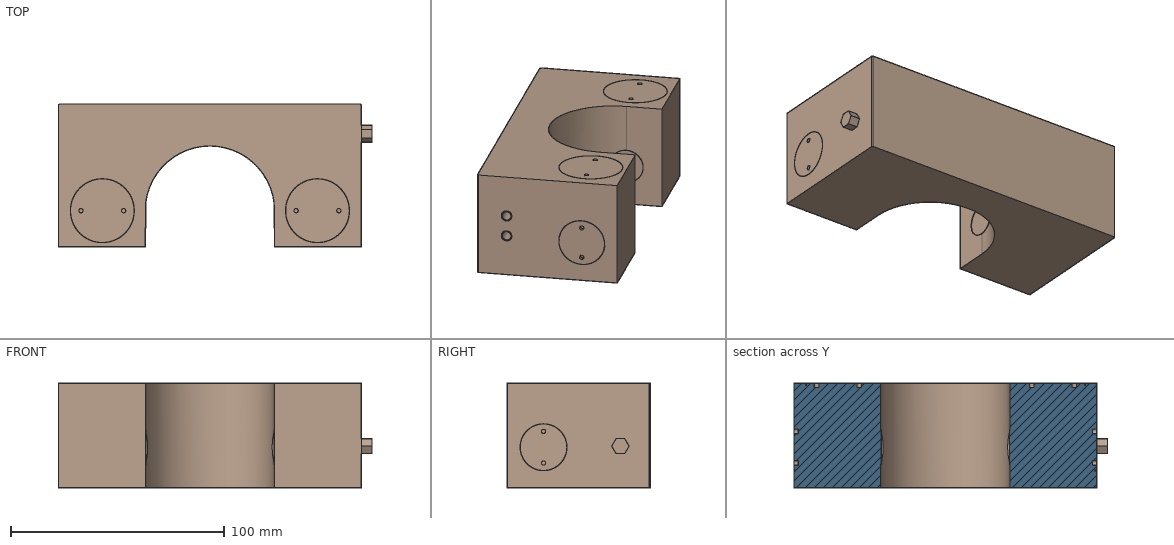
import cadquery as cq
import math

BODY_LENGTH = 142.0
BODY_WIDTH = 67.0
BODY_HEIGHT = 49.0
BACK_EDGE_CHAMFER = 0.5

BORE_RADIUS = 30.25
BORE_AXIS_TO_FRONT = 17.0

PLUG_GAP = 0.1
PLUG_GAP_DEPTH = 1.0
TOP_PLUG_DIAMETER = 29.8
SIDE_PLUG_DIAMETER = 21.8
TOP_PLUG_X = 50.4

PIN_HOLE_DIAMETER = 2.0
PIN_HOLE_DEPTH = 2.0
TOP_PIN_RADIUS = 10.0
SIDE_PIN_RADIUS = 7.4

PISTON_DIAMETER = 16.0
PISTON_Z = 19.0
PISTON_PROTRUSION = 0.25
PISTON_LENGTH = 15.0

PORT_CORE_DIAMETER = 4.13
PORT_SPOT_FACE_DIAMETER = 5.0
PORT_SPOT_FACE_DEPTH = 0.2
PORT_DEPTH = 10.0
PORT_SPACING = 10.0
PORTS_TO_FRONT = 53.0

HEX_SIDES = 6
HEX_ACROSS_FLATS = 7.0
HEX_LENGTH = 5.0

HEX_ACROSS_CORNERS = HEX_ACROSS_FLATS / math.cos(math.pi / HEX_SIDES)
LEFT_X = -BODY_LENGTH / 2
RIGHT_X = BODY_LENGTH / 2
FRONT_Y = -BORE_AXIS_TO_FRONT
PORT_Y = FRONT_Y + PORTS_TO_FRONT
LOWER_PORT_Z = (BODY_HEIGHT - PORT_SPACING) / 2
UPPER_PORT_Z = LOWER_PORT_Z + PORT_SPACING


def plane_facing(origin, normal):
    """Plane with its local x along X when it faces along Z, otherwise along Z."""
    faces_along_z = normal[2] != 0
    local_x = (1, 0, 0) if faces_along_z else (0, 0, 1)
    return cq.Plane(origin=origin, xDir=local_x, normal=normal)


def make_block():
    block = cq.Workplane("XY").box(BODY_LENGTH, BODY_WIDTH, BODY_HEIGHT, centered=(True, False, False))
    block = block.translate((0, FRONT_Y, 0))
    return block.edges("|Z and >Y").chamfer(BACK_EDGE_CHAMFER)


def make_opening():
    bore = cq.Workplane("XY").circle(BORE_RADIUS).extrude(BODY_HEIGHT)
    throat = cq.Workplane("XY").box(
        2 * BORE_RADIUS, BORE_AXIS_TO_FRONT, BODY_HEIGHT, centered=(True, False, False)
    )
    return bore.union(throat.translate((0, FRONT_Y, 0)))


def make_plug_cut(origin, normal, plug_diameter, pin_radius):
    """Ring gap around a plug together with its two pin holes."""
    plane = plane_facing(origin, normal)
    plug_radius = plug_diameter / 2
    gap = cq.Workplane(plane).circle(plug_radius + PLUG_GAP).circle(plug_radius).extrude(-PLUG_GAP_DEPTH)
    pin_holes = (
        cq.Workplane(plane)
        .pushPoints([(-pin_radius, 0), (pin_radius, 0)])
        .circle(PIN_HOLE_DIAMETER / 2)
        .extrude(-PIN_HOLE_DEPTH)
    )
    return gap.union(pin_holes)


def make_piston_cylinder(side, direction):
    """Cylinder of piston size starting at the flat piston face and running along X."""
    face_x = side * (BORE_RADIUS - PISTON_PROTRUSION)
    plane = plane_facing((face_x, 0, PISTON_Z), (direction, 0, 0))
    return cq.Workplane(plane).circle(PISTON_DIAMETER / 2).extrude(PISTON_LENGTH)


def fit_piston(body, side):
    """Clear the bore wall in front of the piston face and fill solid behind it."""
    pocket = make_piston_cylinder(side, -side)
    piston = make_piston_cylinder(side, side)
    return body.cut(pocket).union(piston)


def make_port(port_z):
    """Blind thread core hole with a shallow spot face at its entry."""
    plane = plane_facing((LEFT_X, PORT_Y, port_z), (1, 0, 0))
    spot_face = cq.Workplane(plane).circle(PORT_SPOT_FACE_DIAMETER / 2).extrude(PORT_SPOT_FACE_DEPTH)
    core = cq.Workplane(plane).circle(PORT_CORE_DIAMETER / 2).extrude(PORT_DEPTH)
    return spot_face.union(core)


def make_hex_stub():
    """Hexagonal stub with two flats parallel to the top face."""
    stub_plane = cq.Plane(origin=(RIGHT_X, PORT_Y, LOWER_PORT_Z), xDir=(0, 1, 0), normal=(1, 0, 0))
    return cq.Workplane(stub_plane).polygon(HEX_SIDES, HEX_ACROSS_CORNERS).extrude(HEX_LENGTH)


body = make_block().cut(make_opening())

for side in (-1, 1):
    body = fit_piston(body, side)
    top_origin = (side * TOP_PLUG_X, 0, BODY_HEIGHT)
    body = body.cut(make_plug_cut(top_origin, (0, 0, 1), TOP_PLUG_DIAMETER, TOP_PIN_RADIUS))
    side_origin = (side * RIGHT_X, 0, PISTON_Z)
    body = body.cut(make_plug_cut(side_origin, (side, 0, 0), SIDE_PLUG_DIAMETER, SIDE_PIN_RADIUS))

for port_z in (LOWER_PORT_Z, UPPER_PORT_Z):
    body = body.cut(make_port(port_z))

result = body.union(make_hex_stub())